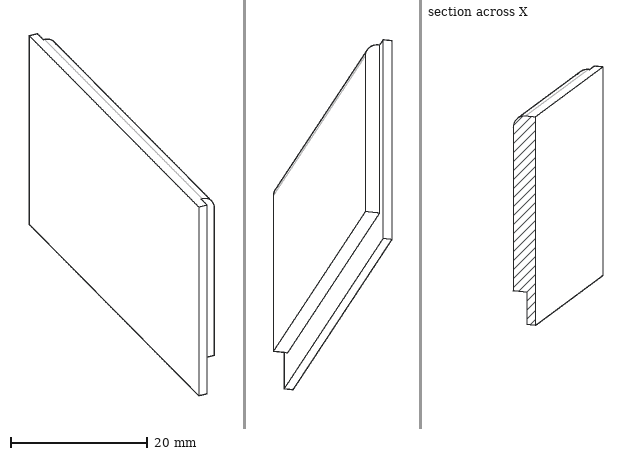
import cadquery as cq

plate_width = 56.55
plate_height = 31.85
total_depth = 3.5
plate_thickness = 1.35

pad_width = 52.6
pad_height = 26.9
pad_depth = total_depth - plate_thickness
pad_edge_radius = 2.0


def make_plate():
    """Flat plate with its front face on Y = 0 and its bottom on Z = 0."""
    return cq.Workplane("XY").box(
        plate_width, plate_thickness, plate_height, centered=(True, False, False)
    )


def make_pad():
    """Pad behind the plate, with its top back edge rounded."""
    pad_bottom = plate_height - pad_height
    pad = cq.Workplane("XY").box(
        pad_width, pad_depth, pad_height, centered=(True, False, False)
    )
    pad = pad.faces(">Y").edges(">Z").fillet(pad_edge_radius)
    return pad.translate((0, plate_thickness, pad_bottom))


result = make_plate().union(make_pad())